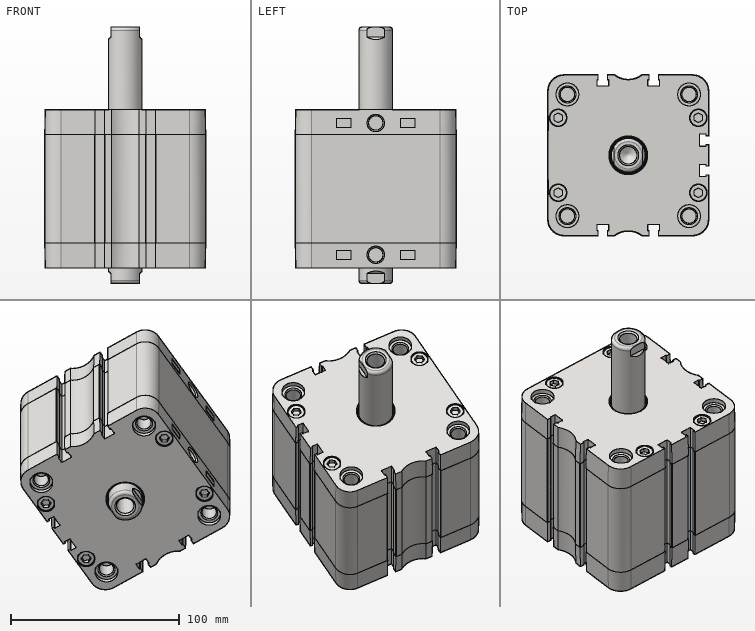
import cadquery as cq
import math

body_height = 94.0
cap_height = 14.9
rod_length = 152.0
rod_bottom_z = -9.1

barrel_width = 95.5
corner_radius = 9.7
flute_radius = 13.4
flute_depth = 2.7
cap_draft = 0.3

side_slot = (5.5, 6.8, 3.0, 6.7)
side_slot_offset = 15.0
end_slot = (5.2, 7.0, 1.8, 5.5)
end_slot_offset = 9.0
barrel_lip_chamfer = 0.38

rod_diameter = 20.0
rod_end_fillet = 2.0
flats_width = 17.0
flats_length = 6.0
rod_hole_diameter = 10.3
rod_hole_mouth = 12.3
rod_hole_depth = 22.8
drill_point_angle = 118.0

wiper_recess_diameter = 21.9
wiper_recess_mouth = 23.0
wiper_recess_depth = 1.2
rod_clearance_diameter = 20.7
rod_clearance_depth = 3.0

mount_offset = 36.0
mount_counterbore_diameter = 13.5
mount_counterbore_depth = 3.0
mount_hole_mouth = 10.0
mount_hole_diameter = 8.5

screw_x = 41.5
screw_y = 22.2
screw_recess_diameter = 10.3
screw_head_diameter = 9.7
screw_head_setback = 0.5
screw_gap_depth = 1.2
socket_across_flats = 5.0
socket_depth = 3.0

port_edge_distance = 7.9
port_diameter = 8.5
port_mouth = 10.3
port_depth = 12.2
label_offset = 19.0
label_length = 8.5
label_height = 5.5
label_depth = 0.23

half_width = barrel_width / 2
cap_base_z = body_height - cap_height
mid_z = body_height / 2
port_z = body_height - port_edge_distance
port_face_x = -half_width + cap_draft * (cap_height - port_edge_distance) / cap_height
mount_points = [(x, y) for x in (-mount_offset, mount_offset) for y in (-mount_offset, mount_offset)]
screw_points = [(x, y) for x in (-screw_x, screw_x) for y in (-screw_y, screw_y)]


def section(z, inset=0.0):
    """Rounded square with a shallow flute in its +Y and -Y sides, offset inward by `inset`."""
    half = half_width - inset
    straight = half_width - corner_radius
    arc_point = straight + (corner_radius - inset) * math.sqrt(0.5)
    flute_bottom = half_width - flute_depth - inset
    flute_center = half_width - flute_depth + flute_radius
    flute_edge = math.sqrt((flute_radius + inset) ** 2 - (flute_center - half) ** 2)
    return (
        cq.Workplane("XY", origin=(0, 0, z))
        .moveTo(half, -straight)
        .lineTo(half, straight)
        .threePointArc((arc_point, arc_point), (straight, half))
        .lineTo(flute_edge, half)
        .threePointArc((0, flute_bottom), (-flute_edge, half))
        .lineTo(-straight, half)
        .threePointArc((-arc_point, arc_point), (-half, straight))
        .lineTo(-half, -straight)
        .threePointArc((-arc_point, -arc_point), (-straight, -half))
        .lineTo(-flute_edge, -half)
        .threePointArc((0, -flute_bottom), (flute_edge, -half))
        .lineTo(straight, -half)
        .threePointArc((arc_point, -arc_point), (half, -straight))
        .close()
    )


def t_slot(sizes, offset, angle, lip_chamfer):
    """T-slot cutter in the +X face at Y = offset, turned about Z by `angle`, with beveled lips."""
    neck_width, inner_width, neck_depth, depth = sizes
    inner_depth = depth - neck_depth
    neck_x = half_width - depth / 2
    inner_x = half_width - neck_depth - inner_depth / 2
    neck = cq.Workplane("XY").box(depth, neck_width, body_height).translate((neck_x, offset, mid_z))
    inner = cq.Workplane("XY").box(inner_depth, inner_width, body_height).translate((inner_x, offset, mid_z))
    slot = neck.union(inner)
    if lip_chamfer > 0:
        bevel = (
            cq.Workplane("XY")
            .moveTo(half_width, offset - neck_width / 2 - lip_chamfer)
            .lineTo(half_width, offset + neck_width / 2 + lip_chamfer)
            .lineTo(half_width - lip_chamfer, offset + neck_width / 2)
            .lineTo(half_width - lip_chamfer, offset - neck_width / 2)
            .close()
            .extrude(body_height)
        )
        slot = slot.union(bevel)
    return slot.rotate((0, 0, 0), (0, 0, 1), angle)


def cut_slots(body, lip_chamfer=0.0):
    for side in (-1, 1):
        body = body.cut(t_slot(end_slot, side * end_slot_offset, 0, lip_chamfer))
        for angle in (90, -90):
            body = body.cut(t_slot(side_slot, side * side_slot_offset, angle, lip_chamfer))
    return body


def countersink(mouth, diameter, z):
    """45 degree cone that narrows downward from its mouth at height z."""
    depth = (mouth - diameter) / 2
    return cq.Workplane("XY", origin=(0, 0, z)).circle(mouth / 2).workplane(offset=-depth).circle(diameter / 2).loft()


def mounting_hole():
    """Counterbored hole through the cap with a countersunk ledge."""
    ledge_z = body_height - mount_counterbore_depth
    counterbore = (
        cq.Workplane("XY", origin=(0, 0, ledge_z))
        .circle(mount_counterbore_diameter / 2)
        .extrude(mount_counterbore_depth)
    )
    hole = cq.Workplane("XY", origin=(0, 0, cap_base_z)).circle(mount_hole_diameter / 2).extrude(cap_height)
    return counterbore.union(hole).union(countersink(mount_hole_mouth, mount_hole_diameter, ledge_z))


def screw_outline():
    """Shallow recess over a screw head, the ring-shaped gap around it and its hexagon socket."""
    recess = (
        cq.Workplane("XY", origin=(0, 0, body_height))
        .circle(screw_recess_diameter / 2)
        .extrude(-screw_head_setback)
    )
    gap = (
        cq.Workplane("XY", origin=(0, 0, body_height))
        .circle(screw_recess_diameter / 2)
        .circle(screw_head_diameter / 2)
        .extrude(-screw_gap_depth)
    )
    socket = (
        cq.Workplane("XY", origin=(0, 0, body_height))
        .polygon(6, socket_across_flats, circumscribed=True)
        .extrude(-socket_depth)
    )
    return recess.union(gap).union(socket)


def rod_opening():
    """Close-fitting rod bore that widens in steps to a beveled recess at the outer face."""
    bore = cq.Workplane("XY", origin=(0, 0, cap_base_z)).circle(rod_diameter / 2).extrude(cap_height)
    recess = (
        cq.Workplane("XY", origin=(0, 0, body_height))
        .circle(wiper_recess_diameter / 2)
        .extrude(-wiper_recess_depth)
    )
    clearance = (
        cq.Workplane("XY", origin=(0, 0, body_height))
        .circle(rod_clearance_diameter / 2)
        .extrude(-rod_clearance_depth)
    )
    mouth = countersink(wiper_recess_mouth, wiper_recess_diameter, body_height)
    return bore.union(recess).union(clearance).union(mouth)


def air_port():
    """Blind port drilled along +X, with a conical mouth on the drafted -X face."""
    mouth_depth = (port_mouth - port_diameter) / 2
    plane = cq.Workplane("YZ", origin=(port_face_x, 0, port_z))
    hole = plane.circle(port_diameter / 2).extrude(port_depth)
    mouth = plane.circle(port_mouth / 2).workplane(offset=mouth_depth).circle(port_diameter / 2).loft()
    clearance = plane.circle(port_mouth / 2).extrude(-cap_draft)
    return hole.union(mouth).union(clearance)


def label_pockets():
    """Two shallow rectangular pockets, one on each side of the port."""
    return (
        cq.Workplane("YZ", origin=(port_face_x + label_depth, 0, port_z))
        .pushPoints([(-label_offset, 0), (label_offset, 0)])
        .rect(label_length, label_height)
        .extrude(-cap_draft - label_depth)
    )


def make_top_cap():
    base = section(cap_base_z).wires().val()
    outer = section(body_height, cap_draft).wires().val()
    cap = cq.Workplane(cq.Solid.makeLoft([base, outer], True))
    cap = cut_slots(cap).cut(rod_opening()).cut(air_port()).cut(label_pockets())
    for x, y in mount_points:
        cap = cap.cut(mounting_hole().translate((x, y, 0)))
    for x, y in screw_points:
        cap = cap.cut(screw_outline().translate((x, y, 0)))
    return cap


def make_barrel():
    barrel = section(cap_height).extrude(body_height - 2 * cap_height)
    rod_bore = cq.Workplane("XY").circle(rod_diameter / 2).extrude(body_height)
    return cut_slots(barrel, barrel_lip_chamfer).cut(rod_bore)


def rod_end_cut():
    """Everything removed at the upper rod end: two wrench flats and a drilled hole."""
    top_z = rod_bottom_z + rod_length
    radius = rod_diameter / 2
    half_flats = flats_width / 2
    run_out = radius - half_flats
    flat = (
        cq.Workplane("XZ", origin=(0, radius, 0))
        .moveTo(half_flats, top_z)
        .lineTo(half_flats, top_z - flats_length)
        .lineTo(radius, top_z - flats_length - run_out)
        .lineTo(radius, top_z)
        .close()
        .extrude(rod_diameter)
    )
    hole_radius = rod_hole_diameter / 2
    mouth_radius = rod_hole_mouth / 2
    point_depth = hole_radius / math.tan(math.radians(drill_point_angle / 2))
    hole = (
        cq.Workplane("XZ")
        .moveTo(0, top_z)
        .lineTo(mouth_radius, top_z)
        .lineTo(hole_radius, top_z - (mouth_radius - hole_radius))
        .lineTo(hole_radius, top_z - rod_hole_depth)
        .lineTo(0, top_z - rod_hole_depth - point_depth)
        .close()
        .revolve(360, (0, 0, 0), (0, 1, 0))
    )
    return flat.union(flat.mirror("YZ")).union(hole)


def make_rod():
    rod = (
        cq.Workplane("XY", origin=(0, 0, rod_bottom_z))
        .circle(rod_diameter / 2)
        .extrude(rod_length)
        .edges("%CIRCLE")
        .fillet(rod_end_fillet)
    )
    upper_cut = rod_end_cut()
    lower_cut = upper_cut.mirror("XY", (0, 0, rod_bottom_z + rod_length / 2))
    return rod.cut(upper_cut).cut(lower_cut)


top_cap = make_top_cap()
bottom_cap = top_cap.mirror("XY", (0, 0, mid_z))
barrel = make_barrel()
rod = make_rod()

result = cq.Compound.makeCompound([top_cap.val(), barrel.val(), bottom_cap.val(), rod.val()])